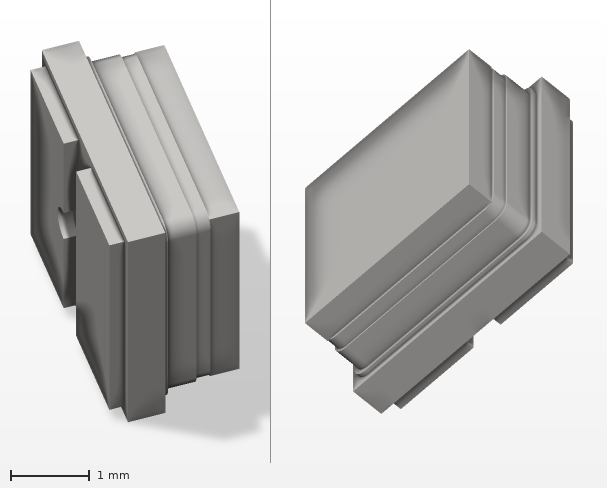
import cadquery as cq

BOARD_SIDE = 3.45
BOARD_THICKNESS = 0.5

PAD_THICKNESS = 0.2
PAD_HEIGHT = 3.15
PAD_GAP = 0.5
NOTCH_RADIUS = 0.25

BOND_SIDE = 3.255
BOND_THICKNESS = 0.07

BODY_SIDE = 3.15
BODY_THICKNESS = 0.4

COLLAR_SIDE = 3.09
COLLAR_THICKNESS = 0.2

CORNER_RADIUS = 0.2

CAP_SIDE = 3.0
CAP_THICKNESS = 0.4

PAD_EDGE_INSET = (BOARD_SIDE - PAD_HEIGHT) / 2
PAD_WIDTH = (BOARD_SIDE - PAD_GAP) / 2 - PAD_EDGE_INSET
PAD_CENTER_X = (PAD_GAP + PAD_WIDTH) / 2

BOARD_Y = PAD_THICKNESS
BOND_Y = BOARD_Y + BOARD_THICKNESS
BODY_Y = BOND_Y + BOND_THICKNESS
COLLAR_Y = BODY_Y + BODY_THICKNESS
CAP_Y = COLLAR_Y + COLLAR_THICKNESS


def plate(width, height, thickness, front_y, center_x=0):
    """Rectangular plate in the XZ plane whose thickness runs from front_y toward +Y."""
    return cq.Workplane("XY").box(width, thickness, height).translate((center_x, front_y + thickness / 2, 0))


def rounded_layer(side, thickness, front_y):
    """Square layer with its four corners rounded about the stacking axis."""
    return plate(side, side, thickness, front_y).edges("|Y").fillet(CORNER_RADIUS)


def contact_pad(side_sign):
    """Plain contact pad on the left (-1) or right (+1) of the board."""
    return plate(PAD_WIDTH, PAD_HEIGHT, PAD_THICKNESS, 0, side_sign * PAD_CENTER_X)


def polarity_notch():
    """Cylinder along Y centered on the inner edge of the left pad."""
    return cq.Workplane("XZ").center(-PAD_GAP / 2, 0).circle(NOTCH_RADIUS).extrude(-PAD_THICKNESS)


notched_pad = contact_pad(-1).cut(polarity_notch())
plain_pad = contact_pad(1)

board = plate(BOARD_SIDE, BOARD_SIDE, BOARD_THICKNESS, BOARD_Y)
bond_layer = rounded_layer(BOND_SIDE, BOND_THICKNESS, BOND_Y)
body_layer = rounded_layer(BODY_SIDE, BODY_THICKNESS, BODY_Y)
collar_layer = rounded_layer(COLLAR_SIDE, COLLAR_THICKNESS, COLLAR_Y)
cap = plate(CAP_SIDE, CAP_SIDE, CAP_THICKNESS, CAP_Y)

result = cq.Compound.makeCompound([
    notched_pad.val(),
    plain_pad.val(),
    board.val(),
    bond_layer.val(),
    body_layer.val(),
    collar_layer.val(),
    cap.val(),
])